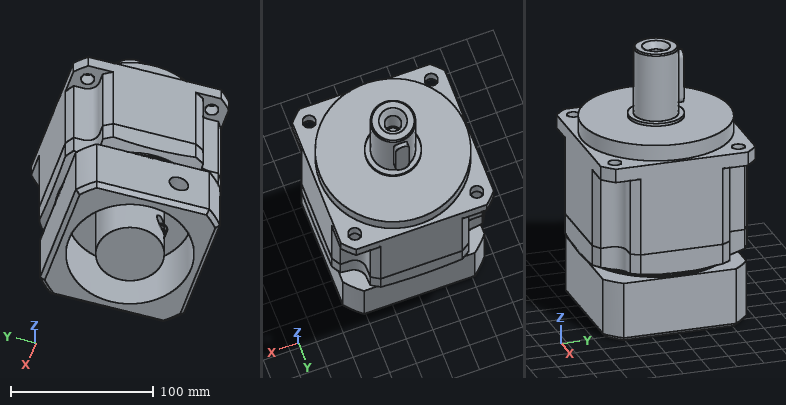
import cadquery as cq
import math


adapter_top = 44.9
spigot_top = 46.0
cone_bottom = 48.0
split_height = 66.8
flange_bottom = 124.7
flange_top = 134.9
pilot_top = 146.6
collar_top = pilot_top + 2.0
shaft_top = 199.5

flange_side = 115.0
flange_corner_radius = 75.6
housing_corner_radius = 65.0
adapter_side = 106.5
adapter_corner_radius = 67.6
motor_face_chamfer = 3.2

bolt_offset = 45.9
bolt_hole_diameter = 9.4
pocket_radius = 8.8
pocket_wall = bolt_offset - pocket_radius

pilot_radius = 54.9
collar_radius = 20.0
shaft_radius = 16.0
shaft_chamfer = 1.0

key_width = 10.0
key_length = 39.9
key_bottom = 154.6
key_top_y = 19.2
key_root_y = shaft_radius - 2.0

mouth_radius = 10.0
countersink_radius = 8.8
countersink_start = 1.2
centre_bore_radius = 6.0
centre_bore_start = 4.8
centre_bore_depth = 24.0
drill_tip_radius = 4.8
drill_tip_half_angle = 59.0

neck_radius = adapter_side / 2
spigot_radius = neck_radius - 0.8
rear_cone_angle = 18.5

cavity_radius = 45.0
hub_radius = 24.1

screw_y = -19.2
screw_z = 23.1
access_hole_radius = 7.0
screw_face_x = -12.0
screw_head_radius = 5.0
screw_head_length = 6.0
screw_head_chamfer = 0.5
screw_seat_radius = 5.5
socket_flats = 5.2
socket_depth = 3.0


def disc(radius, bottom, top):
    """Upright cylinder on the axis."""
    return cq.Workplane("XY").workplane(offset=bottom).circle(radius).extrude(top - bottom)


def turned_square(side, corner_radius, bottom, top):
    """Square block whose corners are turned down to corner_radius."""
    block = cq.Workplane("XY").workplane(offset=bottom).rect(side, side).extrude(top - bottom)
    return block.intersect(disc(corner_radius, bottom, top))


def revolved(outline):
    """Solid turned about the Z axis from (radius, height) points."""
    return cq.Workplane("XZ").polyline(outline).close().revolve(360, (0, 0, 0), (0, 1, 0))


def corner_pockets(bottom, top):
    """Tools that notch the four corners, leaving a round inner corner around each bolt."""
    size = flange_side / 2
    spacing = 2 * pocket_wall + size
    return (
        cq.Workplane("XY").workplane(offset=bottom)
        .rarray(spacing, spacing, 2, 2).rect(size, size).extrude(top - bottom)
        .edges("|Z").fillet(pocket_radius)
    )


def notched_section(bottom, top):
    """Length of gearbox casing with its four corner pockets."""
    casing = turned_square(flange_side, housing_corner_radius, bottom, top)
    return casing.cut(corner_pockets(bottom, top))


def along_x(start_x):
    """Workplane on the screw axis, facing +X, from which the screw features start."""
    return cq.Workplane("YZ").workplane(offset=start_x).center(screw_y, screw_z)


def make_flange():
    flange = turned_square(flange_side, flange_corner_radius, flange_bottom, flange_top)
    bolt_holes = (
        cq.Workplane("XY").workplane(offset=flange_bottom)
        .rarray(2 * bolt_offset, 2 * bolt_offset, 2, 2)
        .circle(bolt_hole_diameter / 2).extrude(flange_top - flange_bottom)
    )
    return flange.cut(bolt_holes)


def make_centre_hole():
    bore_bottom = shaft_top - centre_bore_depth
    tip_depth = drill_tip_radius / math.tan(math.radians(drill_tip_half_angle))
    return revolved([
        (0, shaft_top),
        (mouth_radius, shaft_top),
        (countersink_radius, shaft_top - countersink_start),
        (centre_bore_radius, shaft_top - centre_bore_start),
        (centre_bore_radius, bore_bottom),
        (drill_tip_radius, bore_bottom),
        (0, bore_bottom - tip_depth),
    ])


def make_key():
    return (
        cq.Workplane("XZ", origin=(0, key_root_y, key_bottom + key_length / 2))
        .slot2D(key_length, key_width, 90).extrude(key_root_y - key_top_y)
    )


def make_shaft():
    shaft = disc(shaft_radius, collar_top, shaft_top).faces(">Z").chamfer(shaft_chamfer)
    return shaft.cut(make_centre_hole()).union(make_key())


def make_output_housing():
    housing = notched_section(split_height, flange_bottom).union(make_flange())
    housing = housing.union(disc(pilot_radius, flange_top, pilot_top))
    housing = housing.union(disc(collar_radius, pilot_top, collar_top))
    return housing.union(make_shaft())


def make_rear_housing():
    cone_rise = (housing_corner_radius - neck_radius) * math.tan(math.radians(rear_cone_angle))
    turned_envelope = revolved([
        (0, cone_bottom),
        (neck_radius, cone_bottom),
        (housing_corner_radius, cone_bottom + cone_rise),
        (housing_corner_radius, split_height),
        (0, split_height),
    ])
    rear = notched_section(cone_bottom, split_height).intersect(turned_envelope)
    rear = rear.union(disc(neck_radius, spigot_top, cone_bottom))
    return rear.union(disc(spigot_radius, adapter_top, spigot_top))


def make_motor_adapter():
    block = turned_square(adapter_side, adapter_corner_radius, 0, adapter_top)
    block = block.faces("<Z").chamfer(motor_face_chamfer)
    access_hole = along_x(-adapter_side / 2).circle(access_hole_radius).extrude(adapter_side / 2)
    return block.cut(disc(cavity_radius, 0, adapter_top)).cut(access_hole)


def make_clamp_hub():
    seat_bottom_x = screw_face_x + screw_head_length
    seat = along_x(-hub_radius).circle(screw_seat_radius).extrude(hub_radius + seat_bottom_x)
    return disc(hub_radius, 0, adapter_top).cut(seat)


def make_clamp_screw():
    head = along_x(screw_face_x).circle(screw_head_radius).extrude(screw_head_length)
    head = head.faces("<X").chamfer(screw_head_chamfer)
    socket_corners = socket_flats / math.cos(math.pi / 6)
    socket = (
        along_x(screw_face_x).transformed(rotate=(0, 0, 90))
        .polygon(6, socket_corners).extrude(socket_depth)
    )
    return head.cut(socket)


output_housing = make_output_housing()
rear_housing = make_rear_housing()
motor_adapter = make_motor_adapter()
clamp_hub = make_clamp_hub()
clamp_screw = make_clamp_screw()

result = cq.Compound.makeCompound([
    output_housing.val(),
    rear_housing.val(),
    motor_adapter.val(),
    clamp_hub.val(),
    clamp_screw.val(),
])